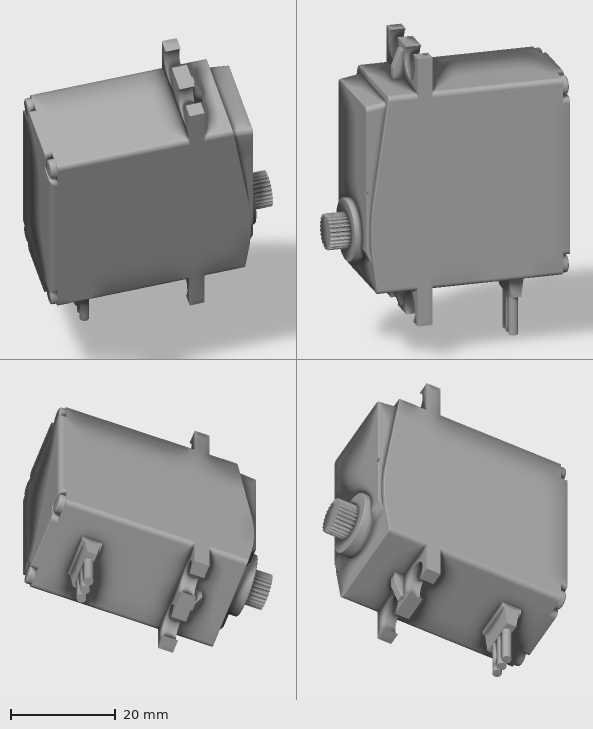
import cadquery as cq
import math

case_width = 20.0
case_height = 40.0
corner_radius = 1.0
edge_break = 0.2
half_width = case_width / 2
half_height = case_height / 2

front_top_y = 36.35
front_bottom_y = 38.6
arc_top = (39.6, -2.45)
arc_middle = (39.9, -7.9)
arc_bottom = (39.65, -12.8)

lid_half_width = half_width - corner_radius
lid_front_y = 40.55
lid_root_y = 35.4
lid_top_z = 17.95
lid_top_rise = 0.8
lid_bottom_z = -11.6
lid_bottom_root = (37.8, -17.4)
slot_length = 1.0
slot_depth = 0.35
slot_height = 1.0
slot_z = 0.35

shaft_z = -9.75
boss_radius = 6.2
boss_front_y = 41.95
shaft_end_y = 46.0
shaft_radius = 3.55
tooth_count = 25
tooth_depth = 0.4

flange_back_y = 27.65
flange_thickness = 3.0
flange_front_y = flange_back_y + flange_thickness
flange_middle_y = flange_back_y + flange_thickness / 2
flange_half_height = 27.2
notch_radius = 3.3
notch_x = 5.0
notch_z = 24.7
gusset_width = 1.75
gusset_front_y = 32.65
gusset_shoulder_z = 22.4
gusset_tip_y = 31.2
gusset_tip_z = 26.0

pocket_size = 4.0
pocket_depth = 1.45
screw_inset = 1.9
screw_radius = 1.8
screw_height = 1.3
screw_edge_radius = 0.4

cable_y = 8.95
grommet_width = 8.0
collar_thickness = 4.0
collar_bottom_z = -21.5
grommet_bottom_z = -25.7
taper_top_thickness = 3.05
taper_bottom_thickness = 1.95
wire_radius = 0.9
wire_spacing = 1.95
overall_height = 61.0
wire_end_z = flange_half_height - overall_height


def extrude_side_profile(profile, width):
    """Extrude a closed profile in the YZ plane, centred on X = 0."""
    return profile.close().extrude(width / 2, both=True)


def cylinder_along_y(x, z, radius, start_y, end_y):
    plane = cq.Workplane("XZ", origin=(x, start_y, z))
    return plane.circle(radius).extrude(start_y - end_y)


def make_case_block():
    profile = (
        cq.Workplane("YZ")
        .moveTo(0, -half_height)
        .lineTo(0, half_height)
        .lineTo(front_top_y, half_height)
        .lineTo(*arc_top)
        .threePointArc(arc_middle, arc_bottom)
        .lineTo(front_bottom_y, -half_height)
    )
    block = extrude_side_profile(profile, case_width)
    block = block.edges("|Y").fillet(corner_radius)
    block = block.faces("not (#Y or |Y)").edges("not |X").fillet(edge_break)
    envelope = cq.Workplane("XZ").rect(case_width, case_height).extrude(-shaft_end_y)
    envelope = envelope.faces("<Y").edges(">X").fillet(corner_radius)
    return block.intersect(envelope)


def make_lid():
    profile = cq.Workplane("YZ").polyline([
        (lid_root_y, lid_top_z + lid_top_rise),
        (lid_front_y, lid_top_z),
        (lid_front_y, lid_bottom_z),
        lid_bottom_root,
        (lid_root_y, lid_bottom_root[1]),
    ])
    lid = extrude_side_profile(profile, 2 * lid_half_width)
    lid = lid.faces(">Z").edges("not |X").fillet(corner_radius)
    lid = lid.faces("<Z").edges("not |X").fillet(corner_radius)
    lid = lid.faces(">Y").edges().fillet(edge_break)
    slot = cq.Workplane("XY").box(2 * slot_length, 2 * slot_depth, slot_height)
    return lid.cut(slot.translate((-lid_half_width, lid_front_y, slot_z)))


def make_boss():
    boss = cylinder_along_y(0, shaft_z, boss_radius, lid_root_y, boss_front_y)
    return boss.faces(">Y").edges().fillet(edge_break)


def make_flange():
    flange = cq.Workplane("XY").box(case_width, flange_thickness, 2 * flange_half_height)
    flange = flange.translate((0, flange_middle_y, 0))
    for x in (-notch_x, notch_x):
        for z in (-notch_z, notch_z):
            flange = flange.cut(cylinder_along_y(x, z, notch_radius, flange_back_y, flange_front_y))
    return flange


def make_gusset():
    """Upper gusset, which braces the flange against the case."""
    profile = cq.Workplane("YZ").polyline([
        (flange_middle_y, half_height - corner_radius),
        (gusset_front_y, half_height - corner_radius),
        (gusset_front_y, gusset_shoulder_z),
        (gusset_tip_y, gusset_tip_z),
        (flange_middle_y, gusset_tip_z),
    ])
    gusset = extrude_side_profile(profile, gusset_width)
    return gusset.faces("|X").edges().fillet(edge_break)


def make_screw_pocket():
    """Cutter for the +X, +Z pocket, flaring out where it breaks through the sides."""
    inner_x = half_width - pocket_size
    inner_z = half_height - pocket_size
    r = corner_radius
    mid = r * (1 - math.sqrt(0.5))
    return (
        cq.Workplane("XZ")
        .moveTo(half_width, half_height)
        .lineTo(inner_x - r, half_height)
        .threePointArc((inner_x - mid, half_height - mid), (inner_x, half_height - r))
        .lineTo(inner_x, inner_z + r)
        .threePointArc((inner_x + mid, inner_z + mid), (inner_x + r, inner_z))
        .lineTo(half_width - r, inner_z)
        .threePointArc((half_width - mid, inner_z - mid), (half_width, inner_z - r))
        .close()
        .extrude(-pocket_depth)
    )


def make_screw_head():
    """Screw head standing in the +X, +Z pocket."""
    head = cylinder_along_y(
        half_width - screw_inset,
        half_height - screw_inset,
        screw_radius,
        pocket_depth - screw_height,
        pocket_depth,
    )
    return head.faces("<Y").edges().fillet(screw_edge_radius)


def at_four_corners(shape):
    """Mirror a +X, +Z corner shape into all four corners."""
    pair = [shape, shape.mirror("YZ")]
    return pair + [corner.mirror("XY") for corner in pair]


def make_cable():
    collar = (
        cq.Workplane("XY")
        .box(grommet_width, collar_thickness, -half_height - collar_bottom_z, centered=(True, True, False))
        .translate((0, cable_y, collar_bottom_z))
    )
    taper = extrude_side_profile(
        cq.Workplane("YZ").polyline([
            (cable_y - taper_top_thickness / 2, collar_bottom_z),
            (cable_y + taper_top_thickness / 2, collar_bottom_z),
            (cable_y + taper_bottom_thickness / 2, grommet_bottom_z),
            (cable_y - taper_bottom_thickness / 2, grommet_bottom_z),
        ]),
        grommet_width,
    )
    cable = collar.union(taper)
    for x in (-wire_spacing, 0, wire_spacing):
        wire = cq.Workplane("XY", origin=(x, cable_y, grommet_bottom_z)).circle(wire_radius)
        cable = cable.union(wire.extrude(wire_end_z - grommet_bottom_z))
    return cable


def make_housing():
    body = make_case_block().union(make_lid()).union(make_boss()).union(make_flange())
    gusset = make_gusset()
    body = body.union(gusset).union(gusset.mirror("XY"))
    for pocket in at_four_corners(make_screw_pocket()):
        body = body.cut(pocket)
    for head in at_four_corners(make_screw_head()):
        body = body.union(head)
    return body.union(make_cable())


def make_output_shaft():
    """Shaft with flat-topped teeth, seated on the front of the boss."""
    root_radius = shaft_radius - tooth_depth
    corner_radii = (shaft_radius, shaft_radius, root_radius, root_radius)
    corners_total = tooth_count * len(corner_radii)
    points = []
    for corner in range(corners_total):
        radius = corner_radii[corner % len(corner_radii)]
        angle = 2 * math.pi * corner / corners_total
        points.append((radius * math.cos(angle), radius * math.sin(angle)))
    plane = cq.Workplane("XZ", origin=(0, boss_front_y, shaft_z))
    return plane.polyline(points).close().extrude(boss_front_y - shaft_end_y)


housing = make_housing()
output_shaft = make_output_shaft()

result = cq.Compound.makeCompound([housing.val(), output_shaft.val()])